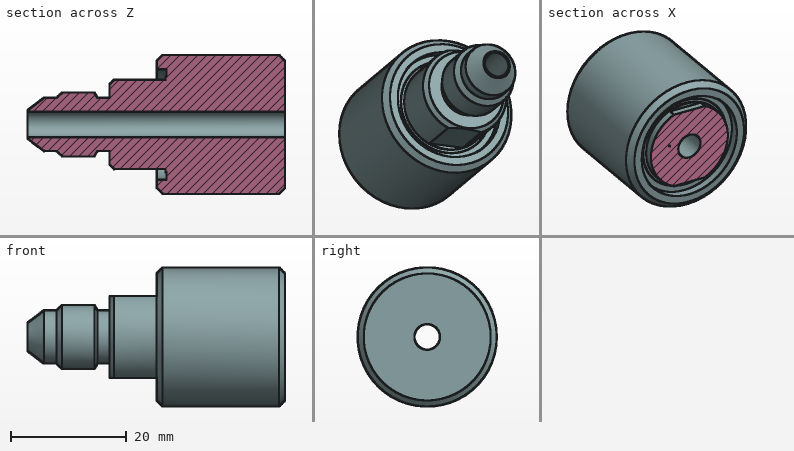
import cadquery as cq

total_length = 44.6
tip_cone_end = 2.85
thread_start = 5.05
thread_lead_in = 1.0
thread_full_end = 11.6
thread_end = 12.13
body_start = 14.18
body_chamfer = 0.8
collar_start = 22.35
flats_end = 23.63
collar_chamfer = 1.05

tip_diameter = 4.9
bore_diameter = 4.35
nose_diameter = 9.27
thread_diameter = 11.1
neck_diameter = 9.27
body_diameter = 15.5
collar_diameter = 24.1

flats_width = 14.2
recess_diameter = 19.1
recess_depth = 1.7
shoulder_diameter = 16.65
shoulder_length = 0.2


def cylinder(diameter, start, end):
    """Return a cylinder on the X axis between two X positions."""
    return cq.Workplane("YZ", origin=(start, 0, 0)).circle(diameter / 2).extrude(end - start)


def make_nipple():
    """Revolve the conical nose, threaded length and neck."""
    points = [
        (0, 0),
        (0, tip_diameter / 2),
        (tip_cone_end, nose_diameter / 2),
        (thread_start, nose_diameter / 2),
        (thread_start + thread_lead_in, thread_diameter / 2),
        (thread_full_end, thread_diameter / 2),
        (thread_end, neck_diameter / 2),
        (body_start, neck_diameter / 2),
        (body_start, 0),
    ]
    return cq.Workplane("XY").polyline(points).close().revolve(360, (0, 0, 0), (1, 0, 0))


def make_body():
    """Make the chamfered round body with two flats facing up and down, and its rear shoulder."""
    recess_floor = collar_start + recess_depth
    body = cylinder(body_diameter, body_start, recess_floor).faces("<X").chamfer(body_chamfer)
    flats_length = flats_end - body_start
    flats_middle = (body_start + flats_end) / 2
    cutter_height = body_diameter - flats_width
    for side in (1, -1):
        cutter = cq.Workplane("XY").box(flats_length, body_diameter, cutter_height)
        body = body.cut(cutter.translate((flats_middle, 0, side * body_diameter / 2)))
    shoulder = cylinder(shoulder_diameter, recess_floor - shoulder_length, recess_floor)
    return body.union(shoulder)


def make_collar():
    """Make the chamfered collar with a round recess around the body."""
    collar = cylinder(collar_diameter, collar_start, total_length)
    collar = collar.faces("<X or >X").chamfer(collar_chamfer)
    recess = cylinder(recess_diameter, collar_start, collar_start + recess_depth)
    return collar.cut(recess)


bore = cylinder(bore_diameter, 0, total_length)
result = make_nipple().union(make_body()).union(make_collar()).cut(bore)